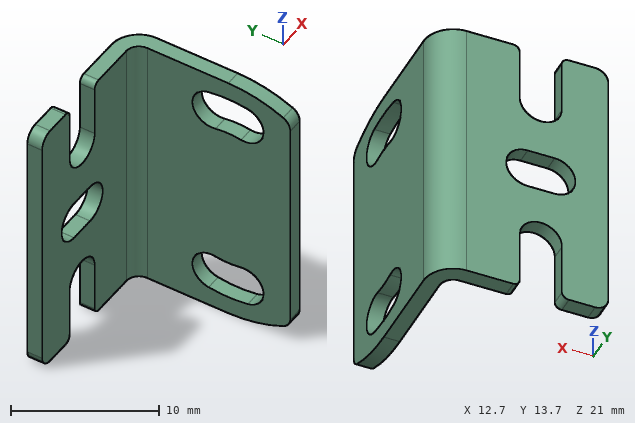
import cadquery as cq
import math

width = 12.7
depth = 13.7
height = 21.0
thickness = 1.2
inner_bend_radius = 1.0
outer_bend_radius = inner_bend_radius + thickness
corner_radius = 1.0

slot_width = 3.1
slot_x = 5.0
notch_depth = 6.05
notch_lip_radius = 0.5
center_slot_length = 5.1

pivot_y = -8.7
edge_radius = height / 2
curved_slot_radius = 7.48
curved_slot_width = slot_width
curved_slot_half_angle = 10.0


def bent_sheet():
    """L-shaped sheet with a rounded bend, extruded along Z."""
    return (
        cq.Workplane("XY")
        .workplane(offset=-height / 2)
        .lineTo(width - outer_bend_radius, 0)
        .radiusArc((width, -outer_bend_radius), outer_bend_radius)
        .lineTo(width, -depth)
        .lineTo(width - thickness, -depth)
        .lineTo(width - thickness, -outer_bend_radius)
        .radiusArc((width - outer_bend_radius, -thickness), -inner_bend_radius)
        .lineTo(0, -thickness)
        .close()
        .extrude(height)
    )


def cut_back_plate(body):
    """Cut the open notches and central slot, then round the plate's edges."""
    notch_length = 2 * notch_depth
    for end_z in (-height / 2, height / 2):
        notch = (
            cq.Workplane("XZ")
            .center(slot_x, end_z)
            .slot2D(notch_length, slot_width, 90)
            .extrude(thickness)
        )
        body = body.cut(notch)
    center_slot = (
        cq.Workplane("XZ")
        .center(slot_x, 0)
        .slot2D(center_slot_length, slot_width)
        .extrude(thickness)
    )
    body = body.cut(center_slot)
    for end_z in (-height / 2, height / 2):
        body = body.edges(cq.NearestToPointSelector((0, -thickness / 2, end_z))).fillet(corner_radius)
        for side in (-1, 1):
            lip = (slot_x + side * slot_width / 2, -thickness / 2, end_z)
            body = body.edges(cq.NearestToPointSelector(lip)).fillet(notch_lip_radius)
    return body


def round_side_plate(body):
    """Trim the free end to arcs about the pivot and round its two corners."""
    reach = depth + pivot_y
    arc_end_z = math.sqrt(edge_radius**2 - reach**2)
    mid_offset = edge_radius * math.sqrt(0.5 * (1 - arc_end_z / edge_radius))
    mid_z = math.sqrt(edge_radius**2 - mid_offset**2)
    for side in (-1, 1):
        waste = (
            cq.Workplane("YZ")
            .workplane(offset=width - thickness)
            .moveTo(pivot_y, side * edge_radius)
            .threePointArc((pivot_y - mid_offset, side * mid_z), (-depth, side * arc_end_z))
            .lineTo(-depth, side * edge_radius)
            .close()
            .extrude(thickness)
        )
        body = body.cut(waste)
    for side in (-1, 1):
        corner = (width - thickness / 2, -depth, side * arc_end_z)
        body = body.edges(cq.NearestToPointSelector(corner)).fillet(corner_radius)
    return body


def curved_slot(side):
    """Curved slot above (side = 1) or below (side = -1) the pivot axis."""
    inner = curved_slot_radius - curved_slot_width / 2
    outer = curved_slot_radius + curved_slot_width / 2
    end_reach = curved_slot_width / 2

    def point(radius, degrees, overshoot=0):
        angle = math.radians(degrees)
        y = radius * math.sin(angle) + overshoot * math.cos(angle)
        z = radius * math.cos(angle) - overshoot * math.sin(angle)
        return (pivot_y + y, side * z)

    end = curved_slot_half_angle
    return (
        cq.Workplane("YZ")
        .workplane(offset=width - thickness)
        .moveTo(*point(outer, -end))
        .threePointArc(point(outer, 0), point(outer, end))
        .threePointArc(point(curved_slot_radius, end, end_reach), point(inner, end))
        .threePointArc(point(inner, 0), point(inner, -end))
        .threePointArc(point(curved_slot_radius, -end, -end_reach), point(outer, -end))
        .close()
        .extrude(thickness)
    )


result = round_side_plate(cut_back_plate(bent_sheet()))
for slot_side in (-1, 1):
    result = result.cut(curved_slot(slot_side))